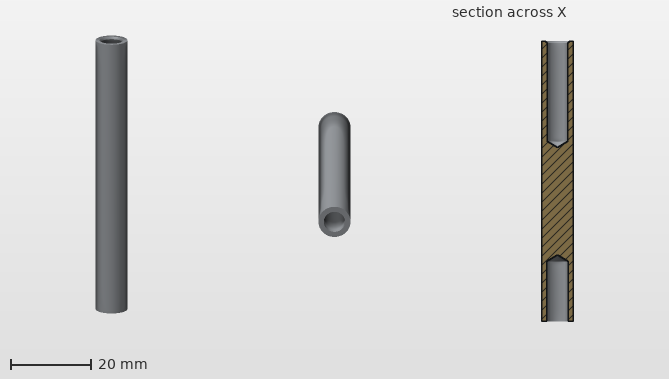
import cadquery as cq
import math

rod_diameter = 8.0
rod_length = 70.0
drill_tip_angle = 118.0

top_hole_diameter = 5.0
top_hole_depth = 25.0
mouth_diameter = 6.0
countersink_angle = 90.0

bottom_hole_diameter = 5.3
bottom_hole_depth = 15.0


def cone_height(large_diameter, small_diameter, included_angle):
    """Axial height over which a cone narrows from one diameter to the other."""
    radius_change = (large_diameter - small_diameter) / 2
    return radius_change / math.tan(math.radians(included_angle / 2))


def revolve_about_z(profile_points):
    """Solid of revolution about Z from (radius, height) points."""
    return cq.Workplane("XZ").polyline(profile_points).close().revolve(360, (0, 0, 0), (0, 1, 0))


def make_rod():
    return cq.Workplane("XY").circle(rod_diameter / 2).extrude(rod_length)


def make_top_hole():
    """Countersink, straight bore and drill tip, going down from the top face."""
    radius = top_hole_diameter / 2
    countersink_bottom = rod_length - cone_height(mouth_diameter, top_hole_diameter, countersink_angle)
    bore_bottom = rod_length - top_hole_depth
    tip = bore_bottom - cone_height(top_hole_diameter, 0, drill_tip_angle)
    return revolve_about_z(
        [
            (0, tip),
            (radius, bore_bottom),
            (radius, countersink_bottom),
            (mouth_diameter / 2, rod_length),
            (0, rod_length),
        ]
    )


def make_bottom_hole():
    """Straight bore and drill tip, going up from the bottom face."""
    radius = bottom_hole_diameter / 2
    tip = bottom_hole_depth + cone_height(bottom_hole_diameter, 0, drill_tip_angle)
    return revolve_about_z([(0, 0), (radius, 0), (radius, bottom_hole_depth), (0, tip)])


result = make_rod().cut(make_top_hole()).cut(make_bottom_hole())